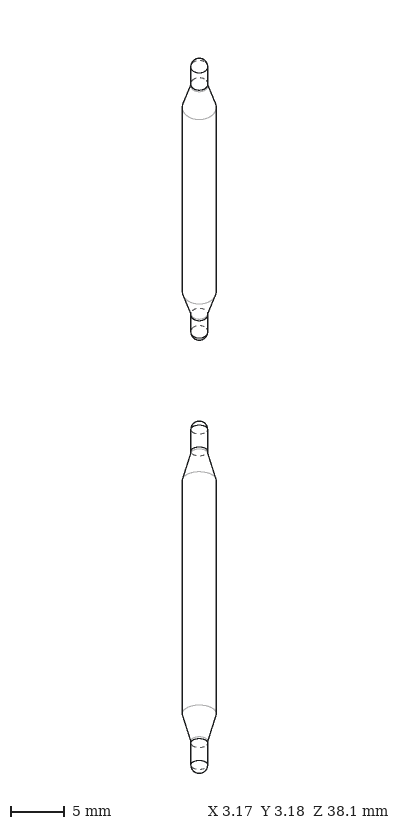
import cadquery as cq
import math

overall_length = 38.1
shank_diameter = 3.175
cutter_diameter = shank_diameter / 2
flute_end_depth = 3.175
shoulder_depth = 6.35
cone_half_angle = 15.0

shank_radius = shank_diameter / 2
cutter_radius = cutter_diameter / 2
tip_height = overall_length / 2
ball_base_height = tip_height - cutter_radius
flute_end_height = tip_height - flute_end_depth
shoulder_height = tip_height - shoulder_depth
cone_length = (shank_radius - cutter_radius) / math.tan(math.radians(cone_half_angle))
neck_base_height = shoulder_height + cone_length


def make_shank():
    """Straight shank with a cone and a short neck at each end, in one solid."""
    upper_outline = [
        (cutter_radius, flute_end_height),
        (cutter_radius, neck_base_height),
        (shank_radius, shoulder_height),
    ]
    lower_outline = [(radius, -height) for radius, height in reversed(upper_outline)]
    return (
        cq.Workplane("YZ")
        .moveTo(0, flute_end_height)
        .polyline([*upper_outline, *lower_outline], includeCurrent=True)
        .lineTo(0, -flute_end_height)
        .close()
        .revolve(360, (0, 0, 0), (0, 1, 0))
    )


def make_flute(end):
    """Cutting cylinder between the neck and the ball; end is +1 (top) or -1 (bottom)."""
    flute_length = ball_base_height - flute_end_height
    return (
        cq.Workplane("XY", origin=(0, 0, end * flute_end_height))
        .circle(cutter_radius)
        .extrude(end * flute_length)
    )


def make_ball(end):
    """Hemispherical tip on the flute; end is +1 (top) or -1 (bottom)."""
    arc_offset = cutter_radius * math.sqrt(0.5)
    return (
        cq.Workplane("YZ", origin=(0, 0, end * ball_base_height))
        .lineTo(cutter_radius, 0)
        .threePointArc((arc_offset, end * arc_offset), (0, end * cutter_radius))
        .close()
        .revolve(360, (0, 0, 0), (0, 1, 0))
    )


shank = make_shank()
flutes = [make_flute(end) for end in (1, -1)]
balls = [make_ball(end) for end in (1, -1)]

result = cq.Compound.makeCompound(
    [
        shank.val(),
        *[flute.val() for flute in flutes],
        *[ball.val() for ball in balls],
    ]
)